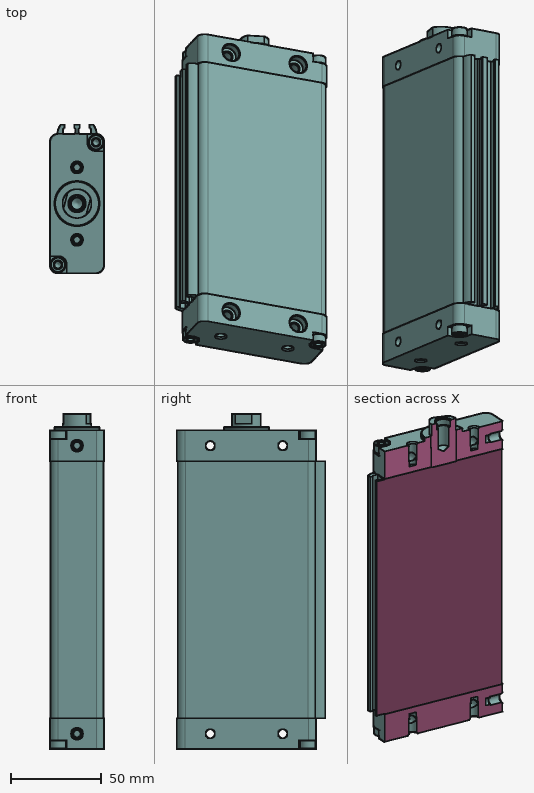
import cadquery as cq
import math

CAP_WIDTH = 30.0
CAP_LENGTH = 77.0
CAP_HEIGHT = 17.0
BODY_HEIGHT = 176.0
TOTAL_HEIGHT = 185.0
CORNER_RADIUS = 4.5
TUBE_INSET_X = 0.3
TUBE_INSET_Y = 0.5
TUBE_WIDTH = CAP_WIDTH - 2 * TUBE_INSET_X
TUBE_CORNER_RADIUS = CORNER_RADIUS - TUBE_INSET_X
TUBE_LENGTH = CAP_LENGTH - 2 * TUBE_INSET_Y
TUBE_HEIGHT = BODY_HEIGHT - 2 * CAP_HEIGHT

RAIL_TIP_Y = CAP_LENGTH / 2 + 5.0
RAIL_LIP = 1.6
RAIL_FOOT = 1.2
RAIL_LIP_SLOPE = 0.7
RAIL_ROOT = 1.0
CENTRE_RAIL_HALF_WIDTH = 1.6
CENTRE_RAIL_HALF_STEM = 0.9
SIDE_RAIL_BASE_OUTER = 10.9
SIDE_RAIL_STEM_INNER = 7.6
SIDE_RAIL_TIP_OUTER = 9.1
SIDE_RAIL_TIP_INNER = 6.8

THREAD_DIAMETER = 4.92
THREAD_MOUTH_DIAMETER = 6.65
THREAD_DEPTH = 10.0
HOLE_SPACING = 40.0
PORT_DEPTH = 8.0
CORE_DIAMETER = 4.0
CORE_DEPTH = 3.0
DRILL_TIP_ANGLE = 118.0

MOUNT_BORE_DIAMETER = 9.73
MOUNT_BORE_MOUTH_DIAMETER = 10.6
MOUNT_THREAD_MOUTH_DIAMETER = 5.9
MOUNT_BORE_DEPTH = 5.0

SCREW_X = CAP_WIDTH / 2 - CORNER_RADIUS
SCREW_Y = 33.8
NOTCH_DIAMETER = 9.73
NOTCH_DEPTH = 5.0
HEAD_DIAMETER = 8.5
HEAD_RIM_DIAMETER = 7.7
SOCKET_DIAMETER = 4.0
SOCKET_MOUTH_DIAMETER = 4.92
SOCKET_DEPTH = 3.0

COLLAR_DIAMETER = 25.0
COLLAR_HEIGHT = 2.0
COLLAR_CHAMFER = 0.5

ROD_DIAMETER = 16.0
FLAT_SPACING = 13.0
FLAT_HEIGHT = 5.5
FLAT_ANGLE = -15.0
ROD_THREAD_DIAMETER = 6.65
ROD_RELIEF_DIAMETER = 8.4
ROD_RELIEF_MOUTH_DIAMETER = 9.73
ROD_RELIEF_DEPTH = 4.0
ROD_THREAD_DEPTH = 16.0


def rounded_block(width, length, height, corner_radius):
    block = cq.Workplane("XY").box(width, length, height, centered=(True, True, False))
    return block.edges("|Z").fillet(corner_radius)


def drilled_hole(point, direction, diameter, mouth_diameter, depth):
    """Hole from a surface point, with a 45 degree countersunk mouth."""
    start = cq.Vector(*point)
    axis = cq.Vector(*direction)
    drill = cq.Solid.makeCylinder(diameter / 2, depth, start, axis)
    mouth_depth = (mouth_diameter - diameter) / 2
    mouth = cq.Solid.makeCone(mouth_diameter / 2, diameter / 2, mouth_depth, start, axis)
    return cq.Workplane(drill.fuse(mouth))


def stepped_thread(point, direction, depth):
    """Threaded hole with a narrower core hole continuing from its floor."""
    thread = drilled_hole(point, direction, THREAD_DIAMETER, THREAD_MOUTH_DIAMETER, depth)
    core = cq.Solid.makeCylinder(
        CORE_DIAMETER / 2, depth + CORE_DEPTH, cq.Vector(*point), cq.Vector(*direction)
    )
    return thread.union(cq.Workplane(core))


def drill_tip(point, diameter):
    """Downward cone that closes a drilled hole."""
    radius = diameter / 2
    height = radius / math.tan(math.radians(DRILL_TIP_ANGLE / 2))
    cone = cq.Solid.makeCone(radius, 0, height, cq.Vector(*point), cq.Vector(0, 0, -1))
    return cq.Workplane(cone)


def mounting_hole(y, z):
    """Hole through the cap along X, with a wide bore on the -X face."""
    face_x = -CAP_WIDTH / 2
    inward = (1, 0, 0)
    bore = drilled_hole(
        (face_x, y, z), inward, MOUNT_BORE_DIAMETER, MOUNT_BORE_MOUTH_DIAMETER, MOUNT_BORE_DEPTH
    )
    through = drilled_hole(
        (face_x + MOUNT_BORE_DEPTH, y, z),
        inward,
        THREAD_DIAMETER,
        MOUNT_THREAD_MOUTH_DIAMETER,
        CAP_WIDTH - MOUNT_BORE_DEPTH,
    )
    return bore.union(through)


def corner_notch():
    """Pocket for the +X +Y screw head: round inside, open to both cap sides."""
    radius = NOTCH_DIAMETER / 2
    reach = NOTCH_DIAMETER
    floor = cq.Workplane("XY", origin=(SCREW_X, SCREW_Y, CAP_HEIGHT - NOTCH_DEPTH))
    return (
        floor.moveTo(-radius, 0)
        .radiusArc((0, -radius), -radius)
        .lineTo(reach, -radius)
        .lineTo(reach, reach)
        .lineTo(-radius, reach)
        .close()
        .extrude(NOTCH_DEPTH)
    )


def screw_head():
    """Socket head of the +X +Y screw, flush with the cap face."""
    head = (
        cq.Workplane("XY", origin=(SCREW_X, SCREW_Y, CAP_HEIGHT - NOTCH_DEPTH))
        .circle(HEAD_DIAMETER / 2)
        .extrude(NOTCH_DEPTH)
    )
    head = head.faces("<Z or >Z").chamfer((HEAD_DIAMETER - HEAD_RIM_DIAMETER) / 2)
    socket = drilled_hole(
        (SCREW_X, SCREW_Y, CAP_HEIGHT), (0, 0, -1), SOCKET_DIAMETER, SOCKET_MOUTH_DIAMETER, SOCKET_DEPTH
    )
    socket = socket.union(drill_tip((SCREW_X, SCREW_Y, CAP_HEIGHT - SOCKET_DEPTH), SOCKET_DIAMETER))
    return head.cut(socket)


def make_cap():
    """End cap with its inner face at Z = 0 and its outer face upward."""
    cap = rounded_block(CAP_WIDTH, CAP_LENGTH, CAP_HEIGHT, CORNER_RADIUS)
    middle = CAP_HEIGHT / 2
    for y in (-HOLE_SPACING / 2, HOLE_SPACING / 2):
        cap = cap.cut(stepped_thread((0, y, CAP_HEIGHT), (0, 0, -1), THREAD_DEPTH))
        cap = cap.cut(mounting_hole(y, middle))
    cap = cap.cut(stepped_thread((0, -CAP_LENGTH / 2, middle), (0, 1, 0), PORT_DEPTH))
    for angle in (0, 180):
        cap = cap.cut(corner_notch().rotate((0, 0, 0), (0, 0, 1), angle))
        cap = cap.union(screw_head().rotate((0, 0, 0), (0, 0, 1), angle))
    return cap


def make_top_cap():
    collar = cq.Workplane("XY", origin=(0, 0, CAP_HEIGHT)).circle(COLLAR_DIAMETER / 2).extrude(COLLAR_HEIGHT)
    collar = collar.faces(">Z").chamfer(COLLAR_CHAMFER)
    rod_bore = cq.Workplane("XY").circle(ROD_DIAMETER / 2).extrude(CAP_HEIGHT + COLLAR_HEIGHT)
    cap = make_cap().union(collar).cut(rod_bore)
    return cap.translate((0, 0, BODY_HEIGHT - CAP_HEIGHT))


def make_bottom_cap():
    return make_cap().mirror("XY").translate((0, 0, CAP_HEIGHT))


def centre_rail():
    base_y = TUBE_LENGTH / 2
    half = [
        (CENTRE_RAIL_HALF_WIDTH, base_y - RAIL_ROOT),
        (CENTRE_RAIL_HALF_WIDTH, base_y),
        (CENTRE_RAIL_HALF_STEM, base_y + RAIL_FOOT),
        (CENTRE_RAIL_HALF_STEM, RAIL_TIP_Y - RAIL_LIP - RAIL_LIP_SLOPE),
        (CENTRE_RAIL_HALF_WIDTH, RAIL_TIP_Y - RAIL_LIP),
        (CENTRE_RAIL_HALF_WIDTH, RAIL_TIP_Y),
    ]
    mirrored = [(-x, y) for x, y in reversed(half)]
    return cq.Workplane("XY").polyline(half + mirrored).close().extrude(TUBE_HEIGHT)


def side_rail():
    """Hooked rail at +X, with a lip toward the middle and a curved outer flank."""
    base_y = TUBE_LENGTH / 2
    inner_flank = [
        (SIDE_RAIL_TIP_OUTER, RAIL_TIP_Y),
        (SIDE_RAIL_TIP_INNER, RAIL_TIP_Y),
        (SIDE_RAIL_TIP_INNER, RAIL_TIP_Y - RAIL_LIP),
        (SIDE_RAIL_STEM_INNER, RAIL_TIP_Y - RAIL_LIP - RAIL_LIP_SLOPE),
        (SIDE_RAIL_STEM_INNER, base_y - RAIL_ROOT),
        (SIDE_RAIL_BASE_OUTER, base_y - RAIL_ROOT),
    ]
    return (
        cq.Workplane("XY")
        .polyline(inner_flank)
        .lineTo(SIDE_RAIL_BASE_OUTER, base_y)
        .tangentArcPoint((SIDE_RAIL_TIP_OUTER, RAIL_TIP_Y), relative=False)
        .close()
        .extrude(TUBE_HEIGHT)
    )


def make_tube():
    tube = rounded_block(TUBE_WIDTH, TUBE_LENGTH, TUBE_HEIGHT, TUBE_CORNER_RADIUS)
    tube = tube.union(centre_rail()).union(side_rail()).union(side_rail().mirror("YZ"))
    return tube.translate((0, 0, CAP_HEIGHT))


def make_rod():
    """Rod from the tube face up through the top cap, with two wrench flats."""
    bottom = BODY_HEIGHT - CAP_HEIGHT
    rod = cq.Workplane("XY", origin=(0, 0, bottom)).circle(ROD_DIAMETER / 2).extrude(TOTAL_HEIGHT - bottom)
    flats = (
        cq.Workplane("XY", origin=(0, 0, TOTAL_HEIGHT - FLAT_HEIGHT))
        .circle(ROD_DIAMETER)
        .extrude(FLAT_HEIGHT)
        .cut(cq.Workplane("XY").box(FLAT_SPACING, 3 * ROD_DIAMETER, 3 * TOTAL_HEIGHT))
        .rotate((0, 0, 0), (0, 0, 1), FLAT_ANGLE)
    )
    relief = drilled_hole(
        (0, 0, TOTAL_HEIGHT), (0, 0, -1), ROD_RELIEF_DIAMETER, ROD_RELIEF_MOUTH_DIAMETER, ROD_RELIEF_DEPTH
    )
    thread_floor = TOTAL_HEIGHT - ROD_THREAD_DEPTH
    thread = (
        cq.Workplane("XY", origin=(0, 0, thread_floor))
        .circle(ROD_THREAD_DIAMETER / 2)
        .extrude(ROD_THREAD_DEPTH)
    )
    tip = drill_tip((0, 0, thread_floor), ROD_THREAD_DIAMETER)
    return rod.cut(flats).cut(relief).cut(thread).cut(tip)


top_cap = make_top_cap()
bottom_cap = make_bottom_cap()
tube = make_tube()
rod = make_rod()
result = cq.Compound.makeCompound([top_cap.val(), bottom_cap.val(), tube.val(), rod.val()])